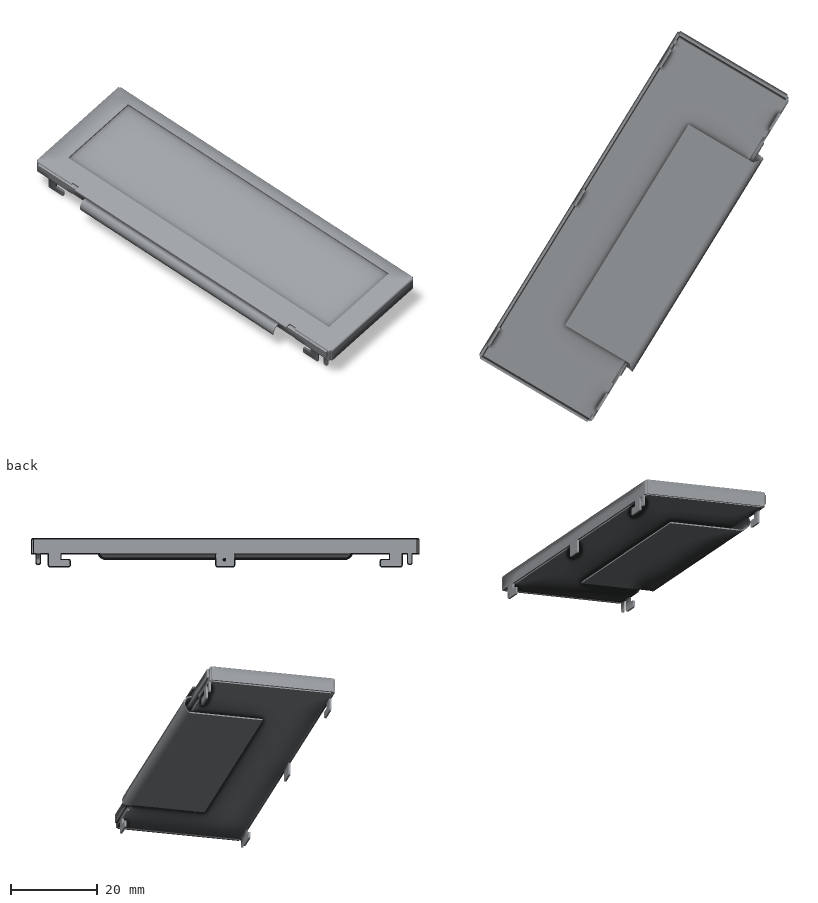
import cadquery as cq
import math


bezel_width = 89.5
bezel_depth = 29.8
skirt_height = 3.5
sheet = 0.45
bend_radius = sheet
half_width = bezel_width / 2
fold_half_width = half_width - bend_radius
back_fold_y = -bend_radius
front_fold_y = bend_radius - bezel_depth
front_wall_inner_y = sheet - bezel_depth
total_height = 6.5

front_wall_inner_x = 33.85
tongue_half_width = 31.95
tongue_front_y = -30.75

window_width = 79.0
window_length = 21.3
window_back_y = -3.0

hook_outer_x = 40.85
hook_neck_width = 2.2
hook_arm_top_z = -4.82
hook_corner_radius = 0.4
front_hook_length = 4.55
back_hook_length = 5.1
back_neck_width = 2.95
back_pin_x = -42.6
front_pin_x = 43.15
pin_width = 1.1
pin_tip_z = -6.0
tab_width = 4.4
tab_hole_diameter = 0.5
tab_hole_x = 0.2
tab_hole_z = -4.85

glass_half_width = 43.7
glass_back_y = -0.8
glass_front_y = -30.25
glass_top_z = -sheet
glass_bottom_z = -2.6
backlight_front_y = front_wall_inner_y

flex_half_width = 29.3
flex_thickness = 0.3
flex_front_y = -32.17
flex_back_y = -13.0
flex_top_z = -1.3
flex_bend_radius = 1.75
flex_leaf_half_width = 27.6
flex_taper_start_y = -32.1
flex_bottom_z = flex_top_z - 2 * flex_bend_radius


def block(x_range, y_range, z_range):
    """Axis-aligned box between two limits on each axis."""
    size = [abs(b - a) for a, b in (x_range, y_range, z_range)]
    corner = [min(limits) for limits in (x_range, y_range, z_range)]
    return cq.Workplane("XY").box(*size, centered=False).translate(tuple(corner))


def folded_wall(length):
    """Bend and wall running along X, centred on X = 0, with its outer face on Y = 0."""
    arc_middle = bend_radius * (math.sqrt(0.5) - 1)
    profile = (
        cq.Workplane("YZ")
        .moveTo(-bend_radius, 0)
        .threePointArc((arc_middle, arc_middle), (0, -bend_radius))
        .lineTo(0, -skirt_height)
        .lineTo(-sheet, -skirt_height)
        .close()
    )
    return profile.extrude(length / 2, both=True)


def wall_plate(sketch, outer_y):
    """Thicken an XZ outline by one sheet, from outer_y towards -Y."""
    return sketch.extrude(sheet).translate((0, outer_y, 0))


def hook(side, length, neck_width, outer_y):
    """L-shaped hook with rounded corners, hanging from a wall, its arm pointing to the middle."""
    neck_x = hook_outer_x - neck_width
    end_x = hook_outer_x - length
    outline = (
        cq.Workplane("XZ")
        .polyline([
            (side * hook_outer_x, -skirt_height),
            (side * hook_outer_x, -total_height),
            (side * end_x, -total_height),
            (side * end_x, hook_arm_top_z),
            (side * neck_x, hook_arm_top_z),
            (side * neck_x, -skirt_height),
        ])
        .close()
    )
    arm_tip = (side * end_x, outer_y - sheet / 2, hook_arm_top_z)
    plate = wall_plate(outline, outer_y).edges("|Y and <Z").fillet(hook_corner_radius)
    return plate.edges("|Y").edges(cq.selectors.NearestToPointSelector(arm_tip)).fillet(hook_corner_radius)


def pin(center_x, outer_y):
    """Narrow locating pin with a round tip."""
    radius = pin_width / 2
    outline = (
        cq.Workplane("XZ")
        .moveTo(center_x - radius, -skirt_height)
        .lineTo(center_x - radius, pin_tip_z + radius)
        .threePointArc(
            (center_x, pin_tip_z),
            (center_x + radius, pin_tip_z + radius),
        )
        .lineTo(center_x + radius, -skirt_height)
        .close()
    )
    return wall_plate(outline, outer_y)


def center_tab():
    """Tab in the middle of the back wall, with a small hole."""
    tab = block((-tab_width / 2, tab_width / 2), (-sheet, 0), (-total_height, -skirt_height))
    tab = tab.edges("|Y and <Z").fillet(hook_corner_radius)
    hole = cq.Workplane("XZ").center(tab_hole_x, tab_hole_z).circle(tab_hole_diameter / 2).extrude(sheet)
    return tab.cut(hole)


def make_bezel():
    bezel = block((-fold_half_width, fold_half_width), (front_fold_y, back_fold_y), (-sheet, 0))
    bezel = bezel.union(
        block((-tongue_half_width, tongue_half_width), (tongue_front_y, front_fold_y), (-sheet, 0))
    )

    fold_length = back_fold_y - front_fold_y
    fold_mid_y = (back_fold_y + front_fold_y) / 2
    bezel = bezel.union(folded_wall(2 * fold_half_width))
    for side in (-1, 1):
        side_wall = folded_wall(fold_length).rotate((0, 0, 0), (0, 0, 1), -90 * side)
        bezel = bezel.union(side_wall.translate((side * half_width, fold_mid_y, 0)))
    front_gap = block(
        (-front_wall_inner_x, front_wall_inner_x),
        (-bend_radius, 0),
        (-skirt_height, 0),
    )
    front_wall = folded_wall(2 * fold_half_width).cut(front_gap)
    bezel = bezel.union(front_wall.rotate((0, 0, 0), (0, 0, 1), 180).translate((0, -bezel_depth, 0)))

    for side in (-1, 1):
        bezel = bezel.union(hook(side, front_hook_length, hook_neck_width, front_wall_inner_y))
        bezel = bezel.union(hook(side, back_hook_length, back_neck_width, 0))
    bezel = bezel.union(pin(back_pin_x, 0))
    bezel = bezel.union(pin(front_pin_x, front_wall_inner_y))
    bezel = bezel.union(center_tab())

    window = block(
        (-window_width / 2, window_width / 2),
        (window_back_y - window_length, window_back_y),
        (-sheet, 0),
    )
    return bezel.cut(window).cut(make_glass())


def make_glass():
    return block(
        (-glass_half_width, glass_half_width),
        (glass_front_y, glass_back_y),
        (glass_bottom_z, glass_top_z),
    )


def make_backlight():
    return block(
        (-glass_half_width, glass_half_width),
        (backlight_front_y, glass_back_y),
        (-skirt_height, glass_bottom_z),
    )


def make_flex():
    """Circuit leaving the front of the glass and folding back under the backlight."""
    center_y = flex_front_y + flex_bend_radius
    center_z = flex_top_z - flex_bend_radius
    inner_radius = flex_bend_radius - flex_thickness
    strip = (
        cq.Workplane("YZ")
        .moveTo(glass_front_y, flex_top_z)
        .lineTo(center_y, flex_top_z)
        .threePointArc((flex_front_y, center_z), (center_y, flex_bottom_z))
        .lineTo(flex_back_y, flex_bottom_z)
        .lineTo(flex_back_y, flex_bottom_z + flex_thickness)
        .lineTo(center_y, flex_bottom_z + flex_thickness)
        .threePointArc((center_y - inner_radius, center_z), (center_y, flex_top_z - flex_thickness))
        .lineTo(glass_front_y, flex_top_z - flex_thickness)
        .close()
        .extrude(flex_half_width, both=True)
    )
    taper_end_y = flex_taper_start_y + flex_half_width - flex_leaf_half_width
    for side in (-1, 1):
        trim = (
            cq.Workplane("XY", origin=(0, 0, flex_bottom_z))
            .polyline([
                (side * flex_half_width, flex_taper_start_y),
                (side * flex_leaf_half_width, taper_end_y),
                (side * flex_leaf_half_width, flex_back_y),
                (side * flex_half_width, flex_back_y),
            ])
            .close()
            .extrude(flex_bend_radius)
        )
        strip = strip.cut(trim)
    return strip


bezel = make_bezel()
glass = make_glass()
backlight = make_backlight()
flex = make_flex()

result = cq.Compound.makeCompound([bezel.val(), glass.val(), backlight.val(), flex.val()])